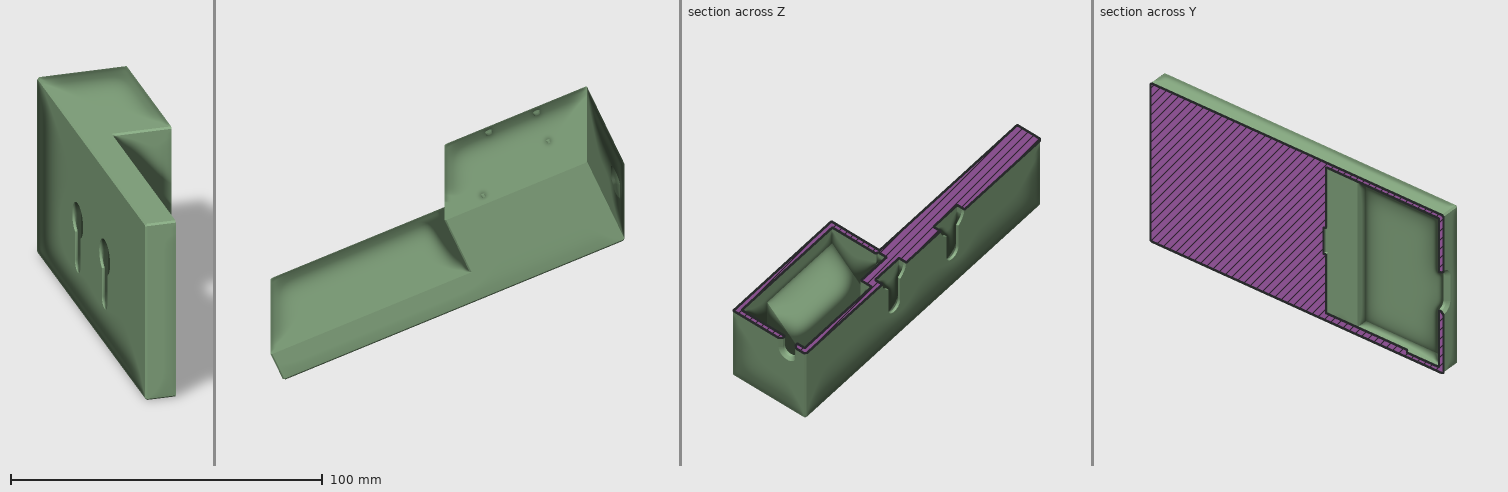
import cadquery as cq

length = 120.0
height = 62.0
box_length = 50.0
box_depth = 30.0
plate_depth = 10.1
edge_chamfer = 0.6
mid_z = height / 2

wall = 2.0
pad_start = 36.0
pad_back = 6.5
recess_height = 10.1
recess_back = 9.8
recess_depth = 1.0
gusset_start = 15.0
gusset_leg = box_depth - wall - pad_back

slot_width = 5.0
slot_height = 15.0
slot_chamfer = 1.0
slot_y = 7.5
slot_z = 31.7

keyhole_spacing = 29.6
head_diameter = 12.0
neck_width = 6.0
neck_drop = 15.2
keyhole_lip = 1.0
keyhole_depth = 3.0

pin_height = 1.0
large_pin_diameter = 2.3
small_pin_diameter = 1.2
large_pins = [(17.4, 55.5), (34.2, 55.5)]
small_pins = [(13.3, 28.5), (36.2, 6.2)]


def block(x_range, y_range, z_range):
    """Box spanning the given (low, high) ranges."""
    ranges = (x_range, y_range, z_range)
    sizes = [high - low for low, high in ranges]
    corner = tuple(low for low, high in ranges)
    return cq.Workplane("XY").box(*sizes, centered=False).translate(corner)


def front_plane(depth):
    """Sketch plane parallel to the front face; extrusions run toward +Y."""
    return cq.Workplane(cq.Plane((0, depth, 0), xDir=(-1, 0, 0), normal=(0, 1, 0)))


def make_body():
    """L-shaped body with chamfered corners and front rim."""
    box = block((0, box_length), (0, box_depth), (0, height))
    plate = block((0, length), (0, plate_depth), (0, height))
    body = box.union(plate)
    body = body.edges("|Y").chamfer(edge_chamfer)
    return body.faces("<Y").edges().chamfer(edge_chamfer)


def make_cavity():
    """Space inside the box, closed at the back, less the keyhole pad and the corner gusset."""
    far_wall = box_length - wall
    inner_z = (wall, height - wall)
    inner_back = box_depth - wall
    cavity = block((wall, far_wall), (wall, inner_back), inner_z)
    pad = block((pad_start, far_wall), (wall, pad_back), inner_z)
    recess_z = (mid_z - recess_height / 2, mid_z + recess_height / 2)
    recess = block((far_wall, far_wall + recess_depth), (pad_back, recess_back), recess_z)
    gusset = (
        cq.Workplane("YZ", origin=(gusset_start, 0, 0))
        .polyline([(inner_back, wall), (inner_back - gusset_leg, wall), (inner_back, wall + gusset_leg)])
        .close()
        .extrude(far_wall - gusset_start)
    )
    return cavity.cut(pad).cut(gusset).union(recess)


def make_cable_slot():
    """Upright slot through the left wall, flared at its outer end."""
    def outline(offset):
        plane = cq.Workplane("YZ", origin=(0, slot_y, slot_z))
        return plane.slot2D(slot_height + 2 * offset, slot_width + 2 * offset, 90)

    return outline(0).extrude(wall).union(outline(slot_chamfer).extrude(slot_chamfer, taper=45))


def make_keyhole(x):
    """Keyhole opening with a wider slot behind it for the screw head."""
    neck_z = mid_z - neck_drop
    head = front_plane(0).center(-x, mid_z).circle(head_diameter / 2).extrude(keyhole_depth)

    def track(width, start, end):
        straight = block((x - width / 2, x + width / 2), (start, end), (neck_z, mid_z))
        foot = front_plane(start).center(-x, neck_z).circle(width / 2).extrude(end - start)
        return straight.union(foot)

    neck = track(neck_width, 0, keyhole_lip)
    return head.union(neck).union(track(head_diameter, keyhole_lip, keyhole_depth))


def make_pins(places, diameter):
    """Round pins standing on the back of the box at (x, z) places."""
    points = [(-x, z) for x, z in places]
    return front_plane(box_depth).pushPoints(points).circle(diameter / 2).extrude(pin_height)


result = make_body().cut(make_cavity()).cut(make_cable_slot())
for side in (-1, 1):
    result = result.cut(make_keyhole(length / 2 + side * keyhole_spacing / 2))
result = result.union(make_pins(large_pins, large_pin_diameter))
result = result.union(make_pins(small_pins, small_pin_diameter))